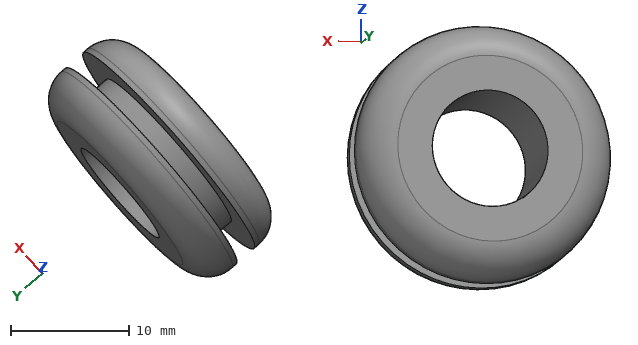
import cadquery as cq

outer_diameter = 22.0
bore_diameter = 10.0
width = 9.0
groove_width = 2.0
rounding_radius = 3.0

groove_floor_diameter = outer_diameter - 2 * rounding_radius


def cylinder(diameter, length):
    """Solid cylinder along Y, centred on the origin."""
    return cq.Workplane("XZ", origin=(0, length / 2, 0)).circle(diameter / 2).extrude(length)


body = cylinder(outer_diameter, width).faces("<Y or >Y").edges().fillet(rounding_radius)

groove = cylinder(outer_diameter, groove_width).cut(cylinder(groove_floor_diameter, groove_width))

bore = cylinder(bore_diameter, width)

result = body.cut(groove).cut(bore)